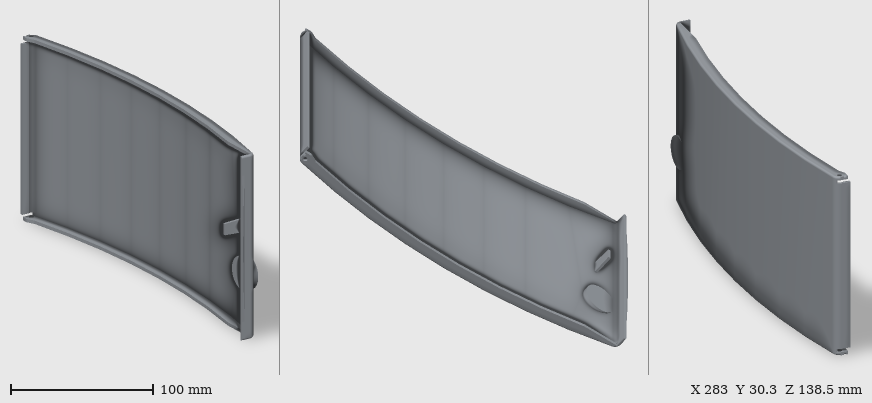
import cadquery as cq
import math

height = 138.47
width = 281.5
skin = 2.0
arch_radius = 625.0
crown_x = 140.5
end_y = -26.9

bend_inner = 3.0
rim_round = 1.5

flange_thickness = 2.5
flange_depth = 8.5
flange_flat_y = -18.5
ear_y = -25.2
ear_flat_end_x = 5.0
ear_slope_end_x = 10.7

pivot_diameter = 3.6
pivot_x = 3.3
pivot_y = -20.1
relief_height = 2.5
relief_depth = 1.3

ear_end_top_y = -19.5
lead_in_top_y = -22.0
lead_in_bottom_y = -24.0
lead_in_x = 1.2
lead_in_z = 1.7

bead_length = 110.0
bead_height = 1.5
bead_rise = 2.3

pad_diameter = 25.0
pad_x = 266.4
pad_z = -25.2
pad_back_y = -11.5
pad_front_y = -17.1
tab_x = 264.1
tab_z = 10.0
tab_thickness = 2.0
tab_root_height = 10.2
tab_tip_height = 8.5
tab_tip_y = -30.3
tab_root_y = -14.2

half_height = height / 2
flange_inner_z = half_height - flange_thickness
wall_end_z = flange_inner_z - relief_height


def arch_y(x, offset=0.0):
    """Height of the arch at x, for an arc lying offset below the outer skin."""
    return math.sqrt((arch_radius - offset) ** 2 - (x - crown_x) ** 2) - arch_radius


def prism(sketch, half_length):
    """Extrude a sketch along Z, equally to both sides of mid-height."""
    return sketch.extrude(half_length, both=True)


def arch_block(left, offset, bend, half_length):
    """Solid under an arc lying offset below the outer skin, its lip corner rounded."""
    right = width - offset
    left_top = (left, arch_y(left, offset))
    right_top = (right, arch_y(right, offset))
    outline = (
        cq.Workplane("XY")
        .moveTo(left, end_y)
        .lineTo(*left_top)
        .threePointArc((crown_x, -offset), right_top)
        .lineTo(right, end_y)
        .close()
    )
    return round_corner(prism(outline, half_length), right_top, bend)


def round_corner(block, corner, radius):
    """Round the upright edge of block that stands at the corner (x, y)."""
    return block.edges(cq.NearestToPointSelector((*corner, 0))).fillet(radius)


def bent_block(offset, bend, half_length):
    """Arch block inset by offset at the arch and both ends, with both upper corners rounded."""
    block = arch_block(offset, offset, bend, half_length)
    return round_corner(block, (offset, arch_y(offset, offset)), bend)


def outer_block():
    """Filled envelope of the panel, its rim rounded along the arch at both ends."""
    block = bent_block(0, bend_inner + skin, half_height)
    for rim_z in (half_height, -half_height):
        block = block.edges(cq.NearestToPointSelector((crown_x, 0, rim_z))).fillet(rim_round)
    return block


def flange_opening():
    """Region below the free edge of the side flanges, between left edge and lip."""
    flat_drop = -flange_flat_y - flange_depth
    lower_radius = arch_radius - flange_depth
    flat_start_x = crown_x + math.sqrt(lower_radius ** 2 - (lower_radius - flat_drop) ** 2)
    lip_x = width - skin
    bottom_y = end_y - skin
    outline = (
        cq.Workplane("XY")
        .moveTo(-skin, ear_y)
        .lineTo(ear_flat_end_x, ear_y)
        .lineTo(ear_slope_end_x, arch_y(ear_slope_end_x, flange_depth))
        .threePointArc((crown_x, -flange_depth), (flat_start_x, flange_flat_y))
        .lineTo(lip_x, flange_flat_y)
        .lineTo(lip_x, bottom_y)
        .lineTo(-skin, bottom_y)
        .close()
    )
    side_zone = prism(cq.Workplane("XY").rect(3 * width, 3 * width), flange_inner_z)
    return prism(outline, half_height).cut(side_zone)


def cavity():
    """Space under the skin, open at the left end."""
    left_gap = cq.Workplane("XY").box(
        relief_depth, arch_y(0) - end_y, 2 * flange_inner_z, centered=(False, False, True)
    ).translate((0, end_y, 0))
    return arch_block(relief_depth, skin, bend_inner, flange_inner_z).union(left_gap)


def left_wall():
    """Wall bent down from the skin at the left end, ending short of both flanges."""
    bent_sheet = bent_block(0, bend_inner + skin, wall_end_z).cut(bent_block(skin, bend_inner, wall_end_z))
    wall_width = skin + 2 * bend_inner
    left_zone = cq.Workplane("XY").box(
        wall_width, -end_y, height, centered=(False, False, True)
    ).translate((0, end_y, 0))
    return bent_sheet.intersect(left_zone)


def pad():
    """Round pad standing through the skin near the lip."""
    return (
        cq.Workplane("XZ", origin=(pad_x, pad_back_y, pad_z))
        .circle(pad_diameter / 2)
        .extrude(pad_back_y - pad_front_y)
    )


def tab():
    """Tapered locating tab standing on the inside of the skin."""
    outline = (
        cq.Workplane("YZ")
        .moveTo(tab_root_y, tab_z - tab_root_height / 2)
        .lineTo(tab_root_y, tab_z + tab_root_height / 2)
        .lineTo(tab_tip_y, tab_z + tab_tip_height / 2)
        .lineTo(tab_tip_y, tab_z - tab_tip_height / 2)
        .close()
    )
    return outline.extrude(tab_thickness / 2, both=True).translate((tab_x, 0, 0))


def snap_bead():
    """Bowed bead along the free edge of the lip, sloping back to the lip above it."""
    wedge = prism(
        cq.Workplane("XY")
        .moveTo(width, end_y)
        .lineTo(width + bead_height, end_y)
        .lineTo(width, end_y + bead_rise)
        .close(),
        bead_length / 2,
    )
    bow = (
        cq.Workplane("XZ", origin=(0, end_y, 0))
        .moveTo(width, -bead_length / 2)
        .threePointArc((width + bead_height, 0), (width, bead_length / 2))
        .close()
        .extrude(-bead_rise)
    )
    return wedge.intersect(bow)


def ear_end():
    """Square outer end of the upper ear, notched by the slanted lead-in."""
    end = cq.Workplane("XY").box(
        skin, ear_end_top_y - ear_y, flange_thickness, centered=False
    ).translate((0, ear_y, flange_inner_z))
    lead_in = (
        cq.Workplane("XZ", origin=(0, lead_in_top_y, 0))
        .moveTo(0, half_height)
        .lineTo(lead_in_x, half_height)
        .lineTo(0, half_height - lead_in_z)
        .close()
        .extrude(lead_in_top_y - lead_in_bottom_y)
    )
    return end.cut(lead_in)


def pivot_holes():
    """Coaxial holes through both flange ears."""
    return prism(cq.Workplane("XY").center(pivot_x, pivot_y).circle(pivot_diameter / 2), half_height)


panel = outer_block().cut(cavity()).cut(flange_opening()).union(left_wall())
for added_part in (ear_end(), ear_end().mirror("XY"), pad(), tab(), snap_bead()):
    panel = panel.union(added_part)
result = panel.cut(pivot_holes())